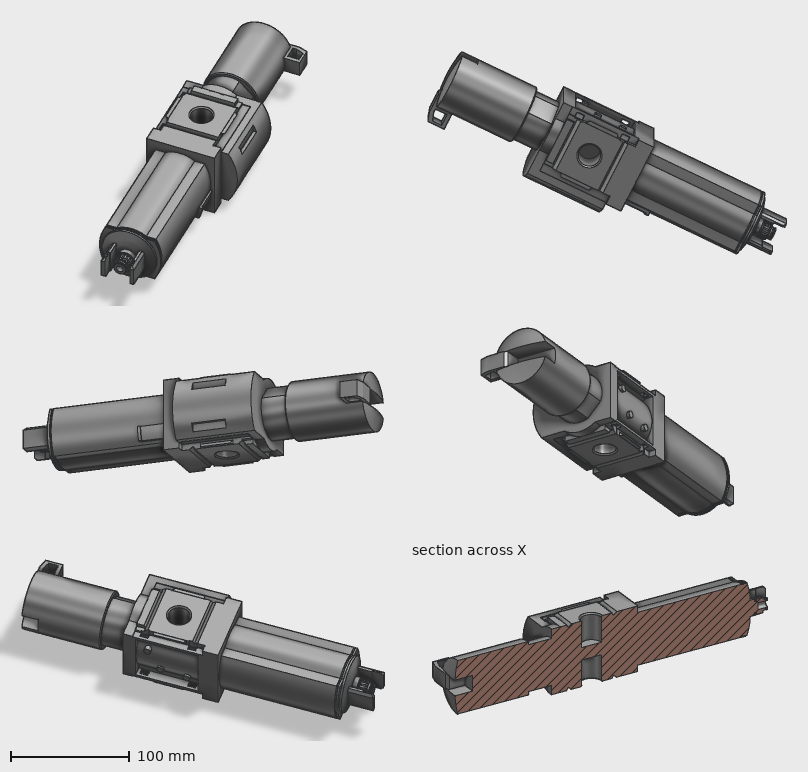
import cadquery as cq
import math


KNOB_TIP = 134.5
KNOB_RIM = 131.5
KNOB_SLOT_FLOOR = 116.7
KNOB_BASE = 61.5
BLOCK_TOP = 39.3
SHELF_TOP = 31.0
SHELF_BOTTOM = -31.2
BLOCK_BOTTOM = -45.2
SHEATH_END = -150.7
CAP_EDGE = -152.5
CAP_FACE = -155.7
TAB_END = -177.5

BLOCK_LEFT = -30.5
BLOCK_RIGHT = 31.5
BLOCK_HEIGHT = 62.0
BLOCK_HALF_HEIGHT = BLOCK_HEIGHT / 2
CORE_HALF_HEIGHT = 26.2
SHELF_HALF_HEIGHT = 25.5
LEDGE_HALF_HEIGHT = 27.5
CROWN_HALF_WIDTH = 15.3
PLATE_HALF_WIDTH = 24.0
RIB_HALF_WIDTH = 20.0
GROOVE_DEPTH = 2.5
GROOVE_WIDTH = 4.7
GROOVE_STEEP_WIDTH = 1.5
UPPER_GROOVE_START = 24.3
LOWER_GROOVE_START = -20.0
DOVETAIL_REACH = 3.0
DOVETAIL_HEIGHT = 3.5
DOVETAIL_DROP = 0.3
DOVETAIL_HALF_LENGTH = 14.7
PORT_DIAMETER = 18.7
PORT_DEPTH = 25.0
PORT_CHAMFER = 1.2

COVER_EDGE = 38.0
COVER_FRONT = 46.5
WINDOW_HALF_LENGTH = 15.0
WINDOW_EDGE = 41.0
WINDOW_LEDGE = 15.0

POCKET_TOP = 28.0
POCKET_BOTTOM = -27.5
POCKET_HALF_HEIGHT = 23.0
POCKET_CHAMFER = 2.2
POCKET_FLOOR_RADIUS = 29.3
STUD_DIAMETER = 6.0
STUD_END = -30.3
STUD_LENGTH = 15.5
STUDS = [(18.0, 11.0), (6.5, -8.7), (-17.0, -11.0)]
WALL_SLOT_X = -25.5
WALL_SLOT_YS = (21.8, -20.5)
WALL_SLOT_WIDTH = 4.7
WALL_SLOT_LENGTH = 7.0

NECK_DIAMETER = 44.5
NECK_ACROSS_FLATS = 41.0
NECK_FLAT_ANGLE = 45
KNOB_DIAMETER = 51.0
KNOB_CHAMFER = 1.0
SLOT_WIDTH = 14.5

BOWL_DIAMETER = 50.2
CAP_DIAMETER = 49.5
CAP_FACE_DIAMETER = 22.0
DOME_BULGE = 0.65
SHEATH_HALF_WIDTH = 28.0
SHEATH_FLAT_HALF_WIDTH = 22.5
SHEATH_HALF_HEIGHT = 21.2
BOWL_GROOVE_Y = -147.5
BOWL_GROOVE_WIDTH = 1.2
BOWL_GROOVE_DEPTH = 0.5
LATCH_END = -69.0
LATCH_LIP = 2.5
LATCH_REACH = 30.0
LATCH_LIP_REACH = 31.0
LATCH_ROOT = 12.5
LATCH_TOP = -7.0
LATCH_BOTTOM = -18.7

COLLAR_DIAMETER = 16.0
BARB_DIAMETER = 11.0
DRAIN_BORE = 6.0
DRAIN_BORE_DEPTH = 9.5
COLLAR_END = -160.0
NUT_TOP = -161.5
NUT_TAPER = -166.5
NUT_END = -168.2
NUT_CHAMFER = 1.0
BARB_NECK_TOP = -170.0
BARB_NECK_END = -171.3
BARB_NECK_DEPTH = 1.0
DRAIN_END = -172.5
KNURL_COUNT = 16
KNURL_DIAMETER = 1.2
TAB_OUTER = 15.0
TAB_ROOT_INNER = 10.5
TAB_TIP_INNER = 11.5
TAB_STEP = -167.5
TAB_HALF_HEIGHT = 10.3
TAB_CHAMFER = 2.2

HASP_INNER_END = 12.2
HASP_OUTER_END = 39.3
HASP_OUTER_TOP = 132.0
HASP_SHOULDER = 31.2
HASP_CHAMFER = 2.5
EYE_INNER = 26.8
EYE_OUTER = 37.0
EYE_SHOULDER = 30.0
EYE_FLOOR = 120.0
EYE_TOP = 131.0
EYE_OUTER_TOP = 128.5


def box(x_min, x_max, y_min, y_max, z_min, z_max):
    size = (x_max - x_min, y_max - y_min, z_max - z_min)
    return cq.Workplane("XY").box(*size, centered=False).translate((x_min, y_min, z_min))


def section(y):
    """Sketch plane across the long axis at height y; it extrudes toward -Y."""
    return cq.Workplane("XZ", origin=(0, y, 0))


def rod(diameter, y_max, y_min):
    return section(y_max).circle(diameter / 2).extrude(y_max - y_min)


def both_z_sides(shape):
    return shape.union(shape.mirror("XY"))


def crown():
    """Rounded rise across the top strip of the block."""
    return (
        section(BLOCK_TOP)
        .moveTo(-CROWN_HALF_WIDTH, CORE_HALF_HEIGHT)
        .threePointArc((0, BLOCK_HALF_HEIGHT), (CROWN_HALF_WIDTH, CORE_HALF_HEIGHT))
        .close()
        .extrude(BLOCK_TOP - SHELF_TOP)
    )


def port_plate():
    """Raised plate around a port, crossed by two V grooves, with a narrower rib above it."""
    z = (SHELF_HALF_HEIGHT, BLOCK_HALF_HEIGHT)
    plate_top = UPPER_GROOVE_START - GROOVE_STEEP_WIDTH
    wide = (-PLATE_HALF_WIDTH, PLATE_HALF_WIDTH)
    plate = box(*wide, SHELF_BOTTOM, plate_top, *z)
    ledge = box(*wide, plate_top, SHELF_TOP, SHELF_HALF_HEIGHT, LEDGE_HALF_HEIGHT)
    rib = box(-RIB_HALF_WIDTH, RIB_HALF_WIDTH, plate_top, SHELF_TOP, *z)
    plate = plate.union(ledge).union(rib)
    for start in (UPPER_GROOVE_START, LOWER_GROOVE_START):
        groove = (
            cq.Workplane("YZ", origin=(-PLATE_HALF_WIDTH, 0, 0))
            .moveTo(start, BLOCK_HALF_HEIGHT)
            .lineTo(start - GROOVE_STEEP_WIDTH, BLOCK_HALF_HEIGHT - GROOVE_DEPTH)
            .lineTo(start - GROOVE_WIDTH, BLOCK_HALF_HEIGHT)
            .close()
            .extrude(2 * PLATE_HALF_WIDTH)
        )
        plate = plate.cut(groove)
    return plate


def dovetail():
    """Undercut lip along the -X edge of a port plate."""
    top = BLOCK_HALF_HEIGHT - DOVETAIL_DROP
    lip = (
        section(DOVETAIL_HALF_LENGTH)
        .moveTo(-PLATE_HALF_WIDTH, top)
        .lineTo(-PLATE_HALF_WIDTH - DOVETAIL_REACH, top)
        .lineTo(-PLATE_HALF_WIDTH, top - DOVETAIL_HEIGHT)
        .close()
        .extrude(2 * DOVETAIL_HALF_LENGTH)
    )
    tapered_end = DOVETAIL_HALF_LENGTH - DOVETAIL_REACH / 2
    outline = (
        cq.Workplane("XY")
        .moveTo(-PLATE_HALF_WIDTH, DOVETAIL_HALF_LENGTH)
        .lineTo(-PLATE_HALF_WIDTH - DOVETAIL_REACH, tapered_end)
        .lineTo(-PLATE_HALF_WIDTH - DOVETAIL_REACH, -tapered_end)
        .lineTo(-PLATE_HALF_WIDTH, -DOVETAIL_HALF_LENGTH)
        .close()
        .extrude(BLOCK_HALF_HEIGHT)
    )
    return lip.intersect(outline)


def port():
    chamfer = (
        cq.Workplane("XY", origin=(0, 0, BLOCK_HALF_HEIGHT))
        .circle(PORT_DIAMETER / 2 + PORT_CHAMFER)
        .workplane(offset=-PORT_CHAMFER)
        .circle(PORT_DIAMETER / 2)
        .loft()
    )
    bore = (
        cq.Workplane("XY", origin=(0, 0, BLOCK_HALF_HEIGHT - PORT_DEPTH))
        .circle(PORT_DIAMETER / 2)
        .extrude(PORT_DEPTH)
    )
    return bore.union(chamfer)


def gauge_cover():
    cover = (
        section(BLOCK_TOP)
        .moveTo(BLOCK_RIGHT, -CORE_HALF_HEIGHT)
        .lineTo(COVER_EDGE, -CORE_HALF_HEIGHT)
        .threePointArc((COVER_FRONT, 0), (COVER_EDGE, CORE_HALF_HEIGHT))
        .lineTo(BLOCK_RIGHT, CORE_HALF_HEIGHT)
        .close()
        .extrude(BLOCK_TOP - SHELF_BOTTOM)
    )
    notch = box(
        WINDOW_EDGE, COVER_FRONT, -WINDOW_HALF_LENGTH, WINDOW_HALF_LENGTH, WINDOW_LEDGE, CORE_HALF_HEIGHT
    )
    return cover.cut(both_z_sides(notch))


def side_pocket():
    """Pocket whose floor is a cylinder about the long axis, around studs that rise from it."""
    inner_z = POCKET_HALF_HEIGHT - POCKET_CHAMFER
    floor_edge = -math.sqrt(POCKET_FLOOR_RADIUS**2 - inner_z**2)
    pocket = (
        section(POCKET_TOP)
        .moveTo(BLOCK_LEFT, POCKET_HALF_HEIGHT)
        .lineTo(floor_edge - POCKET_CHAMFER, POCKET_HALF_HEIGHT)
        .lineTo(floor_edge, inner_z)
        .threePointArc((-POCKET_FLOOR_RADIUS, 0), (floor_edge, -inner_z))
        .lineTo(floor_edge - POCKET_CHAMFER, -POCKET_HALF_HEIGHT)
        .lineTo(BLOCK_LEFT, -POCKET_HALF_HEIGHT)
        .close()
        .extrude(POCKET_TOP - POCKET_BOTTOM)
    )
    studs = (
        cq.Workplane("YZ", origin=(STUD_END, 0, 0))
        .pushPoints(STUDS)
        .circle(STUD_DIAMETER / 2)
        .extrude(STUD_LENGTH)
    )
    wall_slots = (
        cq.Workplane("XY", origin=(0, 0, POCKET_HALF_HEIGHT))
        .pushPoints([(WALL_SLOT_X, y) for y in WALL_SLOT_YS])
        .rect(WALL_SLOT_WIDTH, WALL_SLOT_LENGTH)
        .extrude(BLOCK_HALF_HEIGHT - POCKET_HALF_HEIGHT)
    )
    return pocket.cut(studs).union(both_z_sides(wall_slots))


def port_block():
    core_z = (-CORE_HALF_HEIGHT, CORE_HALF_HEIGHT)
    full_z = (-BLOCK_HALF_HEIGHT, BLOCK_HALF_HEIGHT)
    shelf_z = (-SHELF_HALF_HEIGHT, SHELF_HALF_HEIGHT)
    block = box(BLOCK_LEFT, BLOCK_RIGHT, SHELF_BOTTOM, SHELF_TOP, *shelf_z)
    block = block.union(box(BLOCK_LEFT, BLOCK_RIGHT, SHELF_TOP, BLOCK_TOP, *core_z))
    block = block.union(box(BLOCK_LEFT, BLOCK_RIGHT, BLOCK_BOTTOM, SHELF_BOTTOM, *full_z))
    left_lip = dovetail()
    for raised in (crown(), port_plate(), left_lip, left_lip.mirror("YZ")):
        block = block.union(both_z_sides(raised))
    block = block.union(gauge_cover())
    return block.cut(both_z_sides(port())).cut(side_pocket())


def neck():
    """Round neck with two flats, square to the X = Z diagonal."""
    flats = (
        section(KNOB_BASE)
        .transformed(rotate=(0, 0, NECK_FLAT_ANGLE))
        .rect(NECK_ACROSS_FLATS, NECK_DIAMETER)
        .extrude(KNOB_BASE - BLOCK_TOP)
    )
    return rod(NECK_DIAMETER, KNOB_BASE, BLOCK_TOP).intersect(flats)


def knob():
    """Knob with a domed end and a slot across it for the hasp."""
    radius = KNOB_DIAMETER / 2
    dome_rise = KNOB_TIP - KNOB_RIM
    dome_radius = (radius**2 + dome_rise**2) / (2 * dome_rise)
    half_way = radius / 2
    half_way_y = KNOB_TIP - dome_radius + math.sqrt(dome_radius**2 - half_way**2)
    body = (
        cq.Workplane("XY")
        .moveTo(0, KNOB_BASE)
        .lineTo(radius - KNOB_CHAMFER, KNOB_BASE)
        .lineTo(radius, KNOB_BASE + KNOB_CHAMFER)
        .lineTo(radius, KNOB_RIM)
        .threePointArc((half_way, half_way_y), (0, KNOB_TIP))
        .close()
        .revolve(360, (0, 0, 0), (0, 1, 0))
    )
    slot = box(-radius, radius, KNOB_SLOT_FLOOR, KNOB_TIP, -SLOT_WIDTH / 2, SLOT_WIDTH / 2)
    return body.cut(slot)


def sheath_section(y, length, offset=0.0):
    """Four-sided guard outline: flats above and below, arcs left and right."""
    x_side = SHEATH_HALF_WIDTH + offset
    x_flat = SHEATH_FLAT_HALF_WIDTH + offset
    z = SHEATH_HALF_HEIGHT + offset
    return (
        section(y)
        .moveTo(-x_flat, z)
        .lineTo(x_flat, z)
        .threePointArc((x_side, 0), (x_flat, -z))
        .lineTo(-x_flat, -z)
        .threePointArc((-x_side, 0), (-x_flat, z))
        .close()
        .extrude(length)
    )


def bowl_section(y, length, offset=0.0):
    """Round bowl together with the guard around it."""
    return rod(BOWL_DIAMETER + 2 * offset, y, y - length).union(sheath_section(y, length, offset))


def end_cap():
    """Round cap with a shallow dome and a flat face."""
    rim = CAP_DIAMETER / 2
    face = CAP_FACE_DIAMETER / 2
    middle_y = CAP_EDGE - DOME_BULGE * (CAP_EDGE - CAP_FACE)
    return (
        cq.Workplane("XY")
        .moveTo(0, SHEATH_END)
        .lineTo(rim, SHEATH_END)
        .lineTo(rim, CAP_EDGE)
        .threePointArc(((rim + face) / 2, middle_y), (face, CAP_FACE))
        .lineTo(0, CAP_FACE)
        .close()
        .revolve(360, (0, 0, 0), (0, 1, 0))
    )


def bowl():
    """Guarded bowl with a fine groove near its end, closed by the cap."""
    guarded = bowl_section(BLOCK_BOTTOM, BLOCK_BOTTOM - SHEATH_END)
    groove = bowl_section(BOWL_GROOVE_Y, BOWL_GROOVE_WIDTH).cut(
        bowl_section(BOWL_GROOVE_Y, BOWL_GROOVE_WIDTH, -BOWL_GROOVE_DEPTH)
    )
    return guarded.cut(groove).union(end_cap())


def latch():
    """Release button on the +X side of the bowl, with a lip at its free end."""
    grow = LATCH_REACH - SHEATH_HALF_WIDTH
    lip_grow = LATCH_LIP_REACH - SHEATH_HALF_WIDTH
    length = BLOCK_BOTTOM - LATCH_END
    slider = sheath_section(BLOCK_BOTTOM, length, grow)
    lip = sheath_section(LATCH_END + LATCH_LIP, LATCH_LIP, lip_grow)
    span = box(LATCH_ROOT, LATCH_LIP_REACH, LATCH_END, BLOCK_BOTTOM, LATCH_BOTTOM, LATCH_TOP)
    return slider.union(lip).intersect(span)


def drain():
    """Drain fitting: collar, knurled nut and hose barb, bored at the end."""
    barb_radius = BARB_DIAMETER / 2
    nut_radius = COLLAR_DIAMETER / 2
    fitting = (
        cq.Workplane("XY")
        .moveTo(0, CAP_FACE)
        .lineTo(nut_radius, CAP_FACE)
        .lineTo(nut_radius, COLLAR_END)
        .lineTo(barb_radius, COLLAR_END)
        .lineTo(barb_radius, NUT_TOP)
        .lineTo(nut_radius, NUT_TOP)
        .lineTo(nut_radius, NUT_TAPER)
        .lineTo(nut_radius - NUT_CHAMFER, NUT_END)
        .lineTo(barb_radius, NUT_END)
        .lineTo(barb_radius, BARB_NECK_TOP)
        .lineTo(barb_radius - BARB_NECK_DEPTH, BARB_NECK_TOP)
        .lineTo(barb_radius - BARB_NECK_DEPTH, BARB_NECK_END)
        .lineTo(barb_radius, BARB_NECK_END)
        .lineTo(barb_radius, DRAIN_END)
        .lineTo(0, DRAIN_END)
        .close()
        .revolve(360, (0, 0, 0), (0, 1, 0))
    )
    knurl = (
        section(NUT_TOP)
        .polarArray(nut_radius, 0, 360, KNURL_COUNT)
        .circle(KNURL_DIAMETER / 2)
        .extrude(NUT_TOP - NUT_END)
    )
    return fitting.cut(knurl).cut(rod(DRAIN_BORE, DRAIN_END + DRAIN_BORE_DEPTH, DRAIN_END))


def guard_tab():
    """Upright tab beside the drain, stepped on its inner face, with chamfered corners."""
    height = 2 * TAB_HALF_HEIGHT
    outline = (
        cq.Workplane("XY", origin=(0, 0, -TAB_HALF_HEIGHT))
        .moveTo(TAB_OUTER, CAP_EDGE)
        .lineTo(TAB_OUTER, TAB_END)
        .lineTo(TAB_TIP_INNER, TAB_END)
        .lineTo(TAB_TIP_INNER, TAB_STEP)
        .lineTo(TAB_ROOT_INNER, TAB_STEP)
        .lineTo(TAB_ROOT_INNER, CAP_EDGE)
        .close()
        .extrude(height)
    )
    side_trim = (
        section(CAP_EDGE)
        .center(TAB_OUTER / 2, 0)
        .rect(TAB_OUTER, height)
        .extrude(CAP_EDGE - TAB_END)
        .edges("|Y and >X")
        .chamfer(TAB_CHAMFER)
    )
    end_trim = (
        box(0, TAB_OUTER, TAB_END, CAP_EDGE, -TAB_HALF_HEIGHT, TAB_HALF_HEIGHT)
        .edges("|X and <Y")
        .chamfer(TAB_CHAMFER)
    )
    return outline.intersect(side_trim).intersect(end_trim)


def regulator():
    """Port block with neck, knob, bowl, latch, drain and guard tabs, as one solid."""
    tab = guard_tab()
    body = port_block()
    for part in (neck(), knob(), bowl(), latch(), drain(), tab, tab.mirror("YZ")):
        body = body.union(part)
    return body


def hasp():
    """Padlock hasp in the knob slot, with an eye outside the knob."""
    plate = (
        cq.Workplane("XY", origin=(0, 0, -SLOT_WIDTH / 2))
        .moveTo(HASP_INNER_END, KNOB_SLOT_FLOOR)
        .lineTo(HASP_OUTER_END, KNOB_SLOT_FLOOR)
        .lineTo(HASP_OUTER_END, HASP_OUTER_TOP)
        .lineTo(HASP_SHOULDER, KNOB_TIP)
        .lineTo(HASP_INNER_END + HASP_CHAMFER, KNOB_TIP)
        .lineTo(HASP_INNER_END, KNOB_TIP - HASP_CHAMFER)
        .close()
        .extrude(SLOT_WIDTH)
    )
    eye = (
        cq.Workplane("XY", origin=(0, 0, -SLOT_WIDTH / 2))
        .moveTo(EYE_INNER, EYE_FLOOR)
        .lineTo(EYE_OUTER, EYE_FLOOR)
        .lineTo(EYE_OUTER, EYE_OUTER_TOP)
        .lineTo(EYE_SHOULDER, EYE_TOP)
        .lineTo(EYE_INNER, EYE_TOP)
        .close()
        .extrude(SLOT_WIDTH)
    )
    return plate.cut(eye)


result = cq.Compound.makeCompound([regulator().val(), hasp().val()])